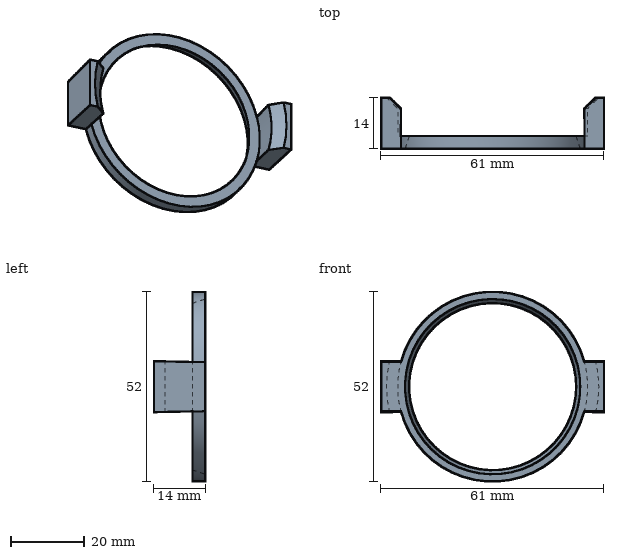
import cadquery as cq

ring_outer_radius = 26.0
bore_front_radius = 24.0
bore_back_radius = 22.8
ring_depth = 3.55

overall_width = 61.0
block_depth = 14.0
block_front_height = 13.4
block_back_height = 14.0
tip_chamfer = 3.05


def make_ring():
    """Ring with a bore that narrows towards the back."""
    profile = [
        (bore_front_radius, 0),
        (ring_outer_radius, 0),
        (ring_outer_radius, ring_depth),
        (bore_back_radius, ring_depth),
    ]
    return cq.Workplane("XY").polyline(profile).close().revolve(360, (0, 0, 0), (0, 1, 0))


def make_clearance():
    """Round space between the blocks, flush with the ring and flared at the block tips."""
    profile = [
        (0, 0),
        (ring_outer_radius, 0),
        (ring_outer_radius, block_depth - tip_chamfer),
        (ring_outer_radius + tip_chamfer, block_depth),
        (0, block_depth),
    ]
    return cq.Workplane("XY").polyline(profile).close().revolve(360, (0, 0, 0), (0, 1, 0))


def make_block_bar():
    """Bar across the full width that grows taller towards the back."""
    side = [
        (0, -block_front_height / 2),
        (block_depth, -block_back_height / 2),
        (block_depth, block_back_height / 2),
        (0, block_front_height / 2),
    ]
    return cq.Workplane("YZ").polyline(side).close().extrude(overall_width / 2, both=True)


blocks = make_block_bar().cut(make_clearance())
result = blocks.union(make_ring())